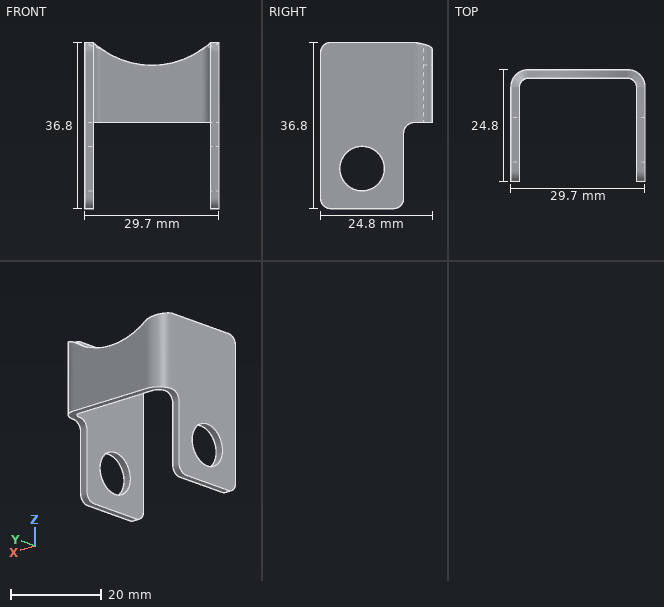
import math

import cadquery as cq


width = 29.72
depth = 24.77
height = 36.83

thickness = 1.94
inner_bend_radius = thickness
outer_bend_radius = inner_bend_radius + thickness
neutral_factor = 0.44

web_height = 17.78
corner_radius = 2.29
notch_depth = 6.35
leg_depth = depth - notch_depth
hole_diameter = 9.8
hole_height = 8.89

saddle_radius = 19.05
saddle_depth = 5.08
shoulder_radius = saddle_radius

front_y = -depth
web_bottom = height - web_height
bend_x = width / 2 - outer_bend_radius
bend_y = -outer_bend_radius
saddle_centre_z = height - saddle_depth + saddle_radius

shoulder_run = (inner_bend_radius + neutral_factor * thickness) * math.pi / 2
saddle_end_z = saddle_centre_z - math.sqrt(saddle_radius**2 - bend_x**2)
shoulder_rise = height - saddle_end_z
shoulder_chord = math.hypot(shoulder_run, shoulder_rise)
centre_offset = math.sqrt(shoulder_radius**2 - (shoulder_chord / 2) ** 2)
shoulder_centre_run = shoulder_run / 2 + centre_offset * shoulder_rise / shoulder_chord
shoulder_centre_z = (
    saddle_end_z + shoulder_rise / 2 - centre_offset * shoulder_run / shoulder_chord
)

clearance = 0.5
curve_steps = 12


def make_sheet():
    """Full-height U of bent sheet."""
    outer = (
        cq.Workplane("XY")
        .rect(width, depth)
        .extrude(height)
        .translate((0, -depth / 2, 0))
        .edges("|Z and >Y")
        .fillet(outer_bend_radius)
    )
    inner = (
        cq.Workplane("XY")
        .rect(width - 2 * thickness, depth)
        .extrude(height)
        .translate((0, -depth / 2 - thickness, 0))
        .edges("|Z and >Y")
        .fillet(inner_bend_radius)
    )
    return outer.cut(inner)


def make_side_profile():
    """Side outline of the bracket with its corner rounds and leg holes."""
    rear_y = front_y + leg_depth
    outline = (
        cq.Workplane("YZ")
        .polyline(
            [
                (front_y, 0),
                (rear_y, 0),
                (rear_y, web_bottom),
                (0, web_bottom),
                (0, height),
                (front_y, height),
            ]
        )
        .close()
        .extrude(width / 2, both=True)
    )
    rounded_corners = [(front_y, 0), (rear_y, 0), (rear_y, web_bottom), (front_y, height)]
    for y, z in rounded_corners:
        corner = cq.selectors.NearestToPointSelector((0, y, z))
        outline = outline.edges("|X").edges(corner).fillet(corner_radius)
    holes = (
        cq.Workplane("YZ")
        .center(front_y + leg_depth / 2, hole_height)
        .circle(hole_diameter / 2)
        .extrude(width / 2, both=True)
    )
    return outline.cut(holes)


def make_saddle_cutter():
    """Cylinder that hollows the flat stretch of the web."""
    cylinder = (
        cq.Workplane("XZ")
        .center(0, saddle_centre_z)
        .circle(saddle_radius)
        .extrude(thickness + clearance)
    )
    flat_stretch = cq.Workplane("XY").box(2 * bend_x, 2 * depth, 4 * height)
    return cylinder.intersect(flat_stretch)


def edge_height(angle):
    """Height of the top edge at an angle round the bend, measured from the web."""
    run = shoulder_run * angle / (math.pi / 2)
    return shoulder_centre_z + math.sqrt(shoulder_radius**2 - (run - shoulder_centre_run) ** 2)


def make_bend_curve(radius):
    """Top edge wrapped round the right-hand bend at the given radius."""
    points = []
    for step in range(curve_steps + 1):
        angle = math.pi / 2 * step / curve_steps
        x = bend_x + radius * math.sin(angle)
        y = bend_y + radius * math.cos(angle)
        points.append(cq.Vector(x, y, edge_height(angle)))
    return cq.Edge.makeSpline(points)


def make_bend_cutter():
    """Solid above the wrapped top edge, square to the sheet all round the bend."""
    inner_curve = make_bend_curve(inner_bend_radius - clearance)
    outer_curve = make_bend_curve(outer_bend_radius + clearance)
    top_face = cq.Face.makeRuledSurface(inner_curve, outer_curve)
    return cq.Workplane(cq.Solid.extrudeLinear(top_face, cq.Vector(0, 0, saddle_depth)))


result = make_sheet().intersect(make_side_profile()).cut(make_saddle_cutter())
bend_cutter = make_bend_cutter()
result = result.cut(bend_cutter).cut(bend_cutter.mirror("YZ"))